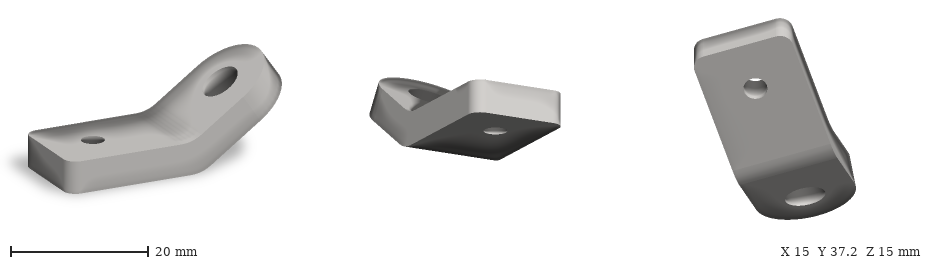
import cadquery as cq
import math

length = 37.2
width = 15.0
thickness = 5.0
tilt_deg = 35.0
lower_bend_y = 21.58
bend_radius = 5.58
corner_radius = 1.95
small_hole_diameter = 3.5
small_hole_y = 7.5
large_hole_diameter = 6.0

tilt = math.radians(tilt_deg)
upper_bend_y = lower_bend_y - thickness * math.tan(tilt / 2)
leg_length = (length - lower_bend_y) / math.cos(tilt)
end_radius = width / 2
tip_z = (length - lower_bend_y) * math.tan(tilt)
tip_top_y = length - thickness * math.sin(tilt)
tip_top_z = tip_z + thickness * math.cos(tilt)

leg_plane = cq.Plane(
    origin=(0, lower_bend_y, 0),
    xDir=(0, math.cos(tilt), math.sin(tilt)),
    normal=(0, -math.sin(tilt), math.cos(tilt)),
)


def bent_bar():
    """Constant-thickness bar with a rounded bend and rounded front corners."""
    bar = (
        cq.Workplane("YZ")
        .polyline([
            (0, 0),
            (lower_bend_y, 0),
            (length, tip_z),
            (tip_top_y, tip_top_z),
            (upper_bend_y, thickness),
            (0, thickness),
        ])
        .close()
        .extrude(width / 2, both=True)
    )
    for bend_y, bend_z in ((lower_bend_y, 0), (upper_bend_y, thickness)):
        bend_edge = cq.selectors.NearestToPointSelector((0, bend_y, bend_z))
        bar = bar.edges("|X").edges(bend_edge).fillet(bend_radius)
    return bar.edges("|Z").edges("<Y").fillet(corner_radius)


def leg_end_waste():
    """Material outside the semicircular end of the tilted leg."""
    center_x = leg_length - end_radius
    block = (
        cq.Workplane(leg_plane)
        .center(center_x + end_radius / 2, 0)
        .rect(end_radius, width)
        .extrude(thickness)
    )
    disc = cq.Workplane(leg_plane).center(center_x, 0).circle(end_radius).extrude(thickness)
    return block.cut(disc)


def small_hole():
    """Vertical hole through the flat leg."""
    return (
        cq.Workplane("XY")
        .center(0, small_hole_y)
        .circle(small_hole_diameter / 2)
        .extrude(thickness)
    )


def large_hole():
    """Hole square to the tilted leg, concentric with its round end."""
    return (
        cq.Workplane(leg_plane)
        .center(leg_length - end_radius, 0)
        .circle(large_hole_diameter / 2)
        .extrude(thickness)
    )


result = bent_bar().cut(leg_end_waste()).cut(small_hole()).cut(large_hole())